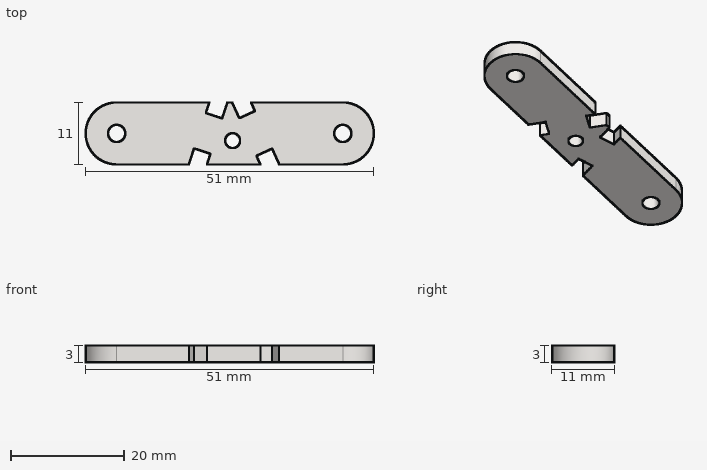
import cadquery as cq

length = 51.0
width = 11.0
thickness = 3.0
end_hole_diameter = 3.0
end_hole_spacing = length - width

middle_hole_diameter = 2.6
middle_hole_x = 0.5
middle_hole_y = -1.3

notch_width = 3.0
left_pair_x = -3.8
left_pair_tilt = -18.3
left_pair_gap = 6.65
right_pair_x = 4.6
right_pair_tilt = 24.5
right_pair_gap = 7.35


def notch_pair(center_x, tilt, gap):
    """Two aligned square-bottomed cutters, running out past both long edges."""
    cutter_length = width
    floor_to_center = (gap + cutter_length) / 2
    return (
        cq.Workplane("XY")
        .pushPoints([(0, floor_to_center), (0, -floor_to_center)])
        .rect(notch_width, cutter_length)
        .extrude(thickness)
        .rotate((0, 0, 0), (0, 0, 1), tilt)
        .translate((center_x, 0, 0))
    )


link = cq.Workplane("XY").slot2D(length, width).extrude(thickness)

end_holes = (
    cq.Workplane("XY")
    .pushPoints([(-end_hole_spacing / 2, 0), (end_hole_spacing / 2, 0)])
    .circle(end_hole_diameter / 2)
    .extrude(thickness)
)
middle_hole = (
    cq.Workplane("XY")
    .center(middle_hole_x, middle_hole_y)
    .circle(middle_hole_diameter / 2)
    .extrude(thickness)
)

result = (
    link.cut(end_holes)
    .cut(middle_hole)
    .cut(notch_pair(left_pair_x, left_pair_tilt, left_pair_gap))
    .cut(notch_pair(right_pair_x, right_pair_tilt, right_pair_gap))
)